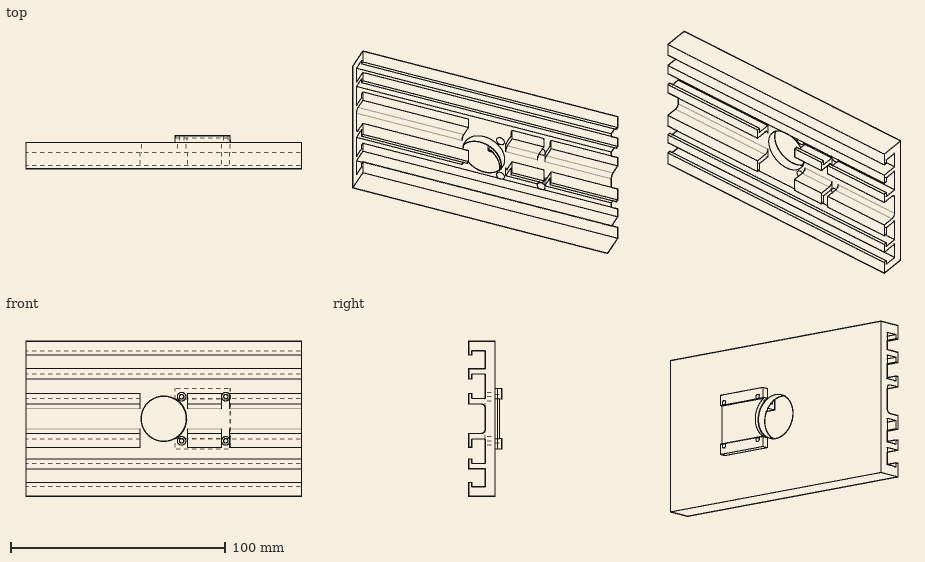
import cadquery as cq

LENGTH = 128.81
DEPTH = 15.55
HEIGHT = 72.48

PROFILE_DEPTH = 12.38
SLOT_DEPTH = 7.77
LIP_THICKNESS = 1.55
EDGE_BAR = 4.6
RIB = 2.65
OUTER_RIB_Z = 20.8
CENTRE_SLOT_HALF = 6.85
CENTRE_FILLET = 2.0
EDGE_LIP = 1.95
UPPER_OUTER_RIB_LIP = 2.3
LOWER_OUTER_RIB_LIP = 2.1
UPPER_INNER_LIP = 2.35
LOWER_INNER_LIP = 3.9

OPENING_DIAMETER = 21.0
MOUNT_OPENING_DIAMETER = 21.5

HOLE_PITCH = 20.6
HOLE_CENTRE_X = 18.65
SCREW_DIAMETER = 2.0
SCREW_HEAD_DIAMETER = 4.0
SCREW_HEAD_DEPTH = PROFILE_DEPTH - SLOT_DEPTH

OPENING_CLEARANCE = (-11.0, 11.0)
SCREW_CLEARANCE = (27.05, 30.75)
CLEARANCE_HALF_HEIGHT = 15.0

MOUNT_X_MIN = 5.15
MOUNT_X_MAX = 30.95
MOUNT_HEIGHT = 28.3
MOUNT_BASE_THICKNESS = 1.0
MOUNT_BASE_OVERHANG = 0.2
CHANNEL_HEIGHT = 18.4
CHANNEL_DEPTH = 1.1


def box(x_range, y_range, z_range):
    """Axis-aligned box between the given limits."""
    x_size = x_range[1] - x_range[0]
    y_size = y_range[1] - y_range[0]
    z_size = z_range[1] - z_range[0]
    corner = (x_range[0], y_range[0], z_range[0])
    return cq.Workplane("XY").box(x_size, y_size, z_size, centered=False).translate(corner)


def along_length(y_range, z_range):
    """Box running the full length of the profile."""
    return box((-LENGTH / 2, LENGTH / 2), y_range, z_range)


def t_slot(floor_z, lower_lip, upper_lip):
    """Cutter for a slot whose mouth is narrowed by a lip on each side."""
    bottom, top = floor_z
    cavity = along_length((LIP_THICKNESS, SLOT_DEPTH), (bottom, top))
    mouth = along_length((0, LIP_THICKNESS), (bottom + lower_lip, top - upper_lip))
    return cavity.union(mouth)


def centre_slot():
    """Cutter for the plain middle slot with rounded floor corners."""
    slot = along_length((0, SLOT_DEPTH), (-CENTRE_SLOT_HALF, CENTRE_SLOT_HALF))
    return slot.edges("|X and >Y").fillet(CENTRE_FILLET)


def profile():
    """Slotted bar before any local machining."""
    inner_slot_z = CENTRE_SLOT_HALF + RIB
    outer_slot_low = OUTER_RIB_Z + RIB
    outer_slot_high = HEIGHT / 2 - EDGE_BAR
    bar = along_length((0, PROFILE_DEPTH), (-HEIGHT / 2, HEIGHT / 2))
    bar = bar.cut(t_slot((outer_slot_low, outer_slot_high), 0, EDGE_LIP))
    bar = bar.cut(t_slot((-outer_slot_high, -outer_slot_low), EDGE_LIP, 0))
    bar = bar.cut(t_slot((inner_slot_z, OUTER_RIB_Z), UPPER_INNER_LIP, UPPER_OUTER_RIB_LIP))
    bar = bar.cut(t_slot((-OUTER_RIB_Z, -inner_slot_z), LOWER_OUTER_RIB_LIP, LOWER_INNER_LIP))
    return bar.cut(centre_slot())


def mount():
    """Raised block on the back face with a thin stepped base and a shallow channel along X."""
    x_range = (MOUNT_X_MIN, MOUNT_X_MAX)
    half = MOUNT_HEIGHT / 2
    half_channel = CHANNEL_HEIGHT / 2
    block = box(x_range, (PROFILE_DEPTH, DEPTH), (-half, half))
    base_x = (MOUNT_X_MIN, MOUNT_X_MAX + MOUNT_BASE_OVERHANG)
    base_y = (PROFILE_DEPTH, PROFILE_DEPTH + MOUNT_BASE_THICKNESS)
    block = block.union(box(base_x, base_y, (-half, half)))
    channel = box(x_range, (DEPTH - CHANNEL_DEPTH, DEPTH), (-half_channel, half_channel))
    opening = bore(0, 0, MOUNT_OPENING_DIAMETER, 0, DEPTH)
    return block.cut(channel).cut(opening)


def rib_clearance(x_range):
    """Cutter that removes the two inner ribs over a stretch of X."""
    z_range = (-CLEARANCE_HALF_HEIGHT, CLEARANCE_HALF_HEIGHT)
    return box(x_range, (0, SLOT_DEPTH), z_range)


def bore(x, z, diameter, y_start, y_end):
    """Cylinder cutter along +Y between two depths."""
    plane = cq.Workplane("XZ", origin=(x, y_start, z))
    return plane.circle(diameter / 2).extrude(y_start - y_end)


def screw_hole(x, z):
    """Through hole with a counterbore sunk into the slot floor."""
    through = bore(x, z, SCREW_DIAMETER, SLOT_DEPTH, DEPTH)
    head = bore(x, z, SCREW_HEAD_DIAMETER, SLOT_DEPTH, SLOT_DEPTH + SCREW_HEAD_DEPTH)
    return through.union(head)


body = profile()
body = body.cut(rib_clearance(OPENING_CLEARANCE))
body = body.cut(rib_clearance(SCREW_CLEARANCE))
body = body.union(mount())
body = body.cut(bore(0, 0, OPENING_DIAMETER, 0, DEPTH))
for x_side in (-1, 1):
    for z_side in (-1, 1):
        hole_x = HOLE_CENTRE_X + x_side * HOLE_PITCH / 2
        hole_z = z_side * HOLE_PITCH / 2
        body = body.cut(screw_hole(hole_x, hole_z))

result = body